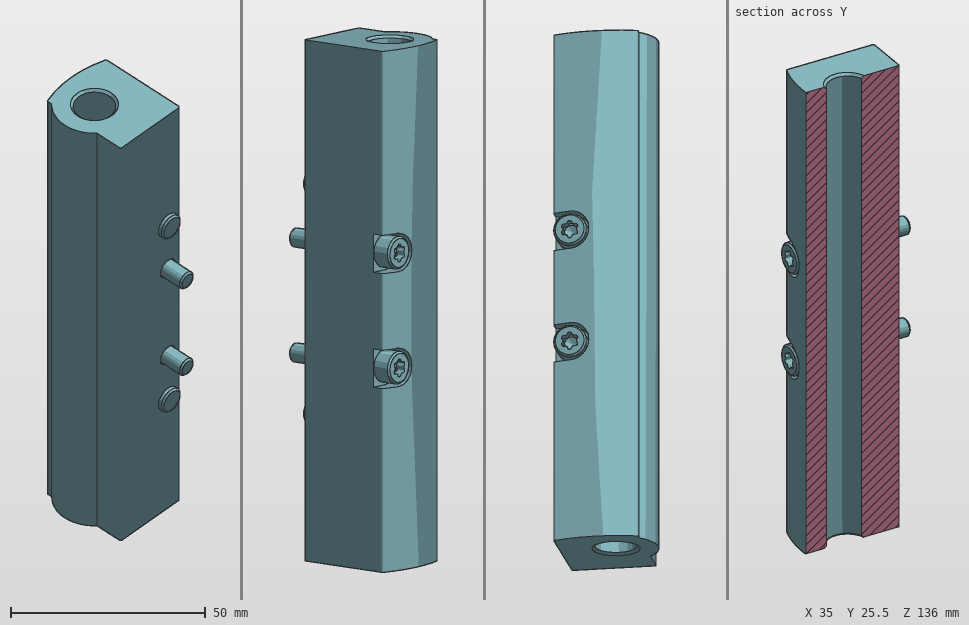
import cadquery as cq
import math


length = 136.0
width = 28.0
block_depth = 22.0
total_depth = 25.5
bore_wall_radius = 11.0
bulge_height = 1.85
corner_radius = 0.5

bore_to_crest = 11.5
back_y = total_depth - bore_wall_radius
front_y = back_y - block_depth
crest_x = -bore_to_crest
corner_x = crest_x + bulge_height
mounting_x = crest_x + width

bore_diameter = 10.92
countersink_diameter = 12.3
countersink_depth = (countersink_diameter - bore_diameter) / 2

screw_spacing = 30.0
screw_diameter = 5.0
screw_length = 30.0
screw_tip_chamfer = 0.5
head_diameter = 8.5
head_height = 5.0
head_chamfer = 0.5
lobe_count = 6
lobe_tip_radius = 2.3
lobe_valley_radius = 1.75
lobe_side_radius = (lobe_tip_radius + lobe_valley_radius) / 2
lobe_pitch = 2 * math.pi / lobe_count
lobe_half_angle = lobe_pitch / 4
first_lobe_angle = math.pi / 2
socket_depth = 2.5
socket_floor_slope = math.radians(30)
socket_cone_depth = lobe_valley_radius * math.tan(socket_floor_slope)
fastener_y = back_y - 4.5
seat_x = crest_x + head_height
screw_positions = (-screw_spacing / 2, screw_spacing / 2)

clearance_diameter = 5.5
seat_width = 10.0

pin_spacing = 60.0
pin_diameter = 7.0
pin_projection = 1.5
pin_recess_depth = 4.5
pin_chamfer = 0.5
pin_positions = (-pin_spacing / 2, pin_spacing / 2)


def rod(diameter, start_x, end_x, z):
    """Cylinder along X on the line of the fasteners."""
    return (
        cq.Workplane("YZ", origin=(start_x, fastener_y, z))
        .circle(diameter / 2)
        .extrude(end_x - start_x)
    )


def make_bar():
    """Solid bar with a bulged side, a rounded bore wall and rounded corners."""
    bore_wall_half_chord = math.sqrt(bore_wall_radius**2 - front_y**2)
    return (
        cq.Workplane("XY", origin=(0, 0, -length / 2))
        .moveTo(corner_x, back_y)
        .threePointArc((crest_x, (back_y + front_y) / 2), (corner_x, front_y))
        .lineTo(-bore_wall_half_chord, front_y)
        .threePointArc((0, -bore_wall_radius), (bore_wall_half_chord, front_y))
        .lineTo(mounting_x, front_y)
        .lineTo(mounting_x, back_y)
        .close()
        .extrude(length)
        .edges("|Z").edges(">X or <X or >Y")
        .fillet(corner_radius)
    )


def make_bore():
    """Through bore, countersunk at both ends."""
    bore = cq.Workplane("XY").circle(bore_diameter / 2).extrude(length / 2, both=True)
    for end, inward in ((length / 2, -1), (-length / 2, 1)):
        countersink = cq.Solid.makeCone(
            countersink_diameter / 2,
            bore_diameter / 2,
            countersink_depth,
            pnt=cq.Vector(0, 0, end),
            dir=cq.Vector(0, 0, inward),
        )
        bore = bore.union(cq.Workplane(countersink))
    return bore


def make_seat(z):
    """Round-ended seat, open at the back face and the bulged side, with its clearance hole."""
    seat = rod(seat_width, crest_x, seat_x, z)
    opening = (
        cq.Workplane("XY")
        .box(head_height, back_y - fastener_y, seat_width, centered=(False, False, True))
        .translate((crest_x, fastener_y, z))
    )
    clearance_hole = rod(clearance_diameter, crest_x, mounting_x, z)
    return seat.union(opening).union(clearance_hole)


def make_housing():
    housing = make_bar().cut(make_bore())
    for z in screw_positions:
        housing = housing.cut(make_seat(z))
    for z in pin_positions:
        housing = housing.cut(rod(pin_diameter, mounting_x - pin_recess_depth, mounting_x, z))
    return housing


def polar(radius, angle):
    """Point at a radius and angle around a fastener axis."""
    return (radius * math.cos(angle), radius * math.sin(angle))


def make_socket(z):
    """Lobed star socket with a conical floor."""
    star = cq.Workplane("YZ", origin=(crest_x, fastener_y, z))
    star = star.moveTo(*polar(lobe_side_radius, first_lobe_angle - lobe_half_angle))
    for i in range(lobe_count):
        tip_angle = first_lobe_angle + i * lobe_pitch
        star = star.threePointArc(
            polar(lobe_tip_radius, tip_angle),
            polar(lobe_side_radius, tip_angle + lobe_half_angle),
        )
        star = star.threePointArc(
            polar(lobe_valley_radius, tip_angle + lobe_pitch / 2),
            polar(lobe_side_radius, tip_angle + lobe_pitch - lobe_half_angle),
        )
    star = star.close().extrude(socket_depth)
    floor = cq.Solid.makeCone(
        lobe_valley_radius,
        0,
        socket_cone_depth,
        pnt=cq.Vector(crest_x + socket_depth, fastener_y, z),
        dir=cq.Vector(1, 0, 0),
    )
    return star.union(cq.Workplane(floor))


def make_screw(z):
    head = rod(head_diameter, crest_x, seat_x, z).faces("<X").edges().chamfer(head_chamfer)
    shank = rod(screw_diameter, seat_x, seat_x + screw_length, z)
    shank = shank.faces(">X").edges().chamfer(screw_tip_chamfer)
    return head.union(shank).cut(make_socket(z))


def make_pin(z):
    pin = rod(pin_diameter, mounting_x - pin_recess_depth, mounting_x + pin_projection, z)
    return pin.faces(">X").edges().chamfer(pin_chamfer)


housing = make_housing()
screws = [make_screw(z).val() for z in screw_positions]
pins = [make_pin(z).val() for z in pin_positions]

result = cq.Compound.makeCompound([housing.val(), *screws, *pins])